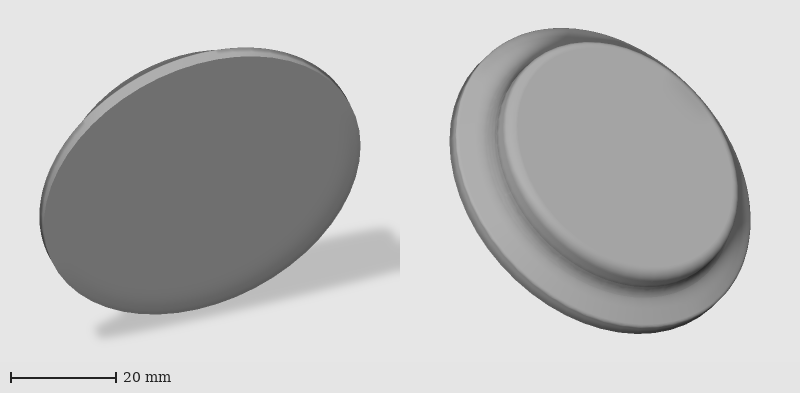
import cadquery as cq
import math

total_depth = 11.0
flange_diameter = 64.0
boss_diameter = 50.8
rim_width = 2.8
cone_angle = 20.0
boss_edge_radius = 2.0
neck_radius = 2.0
rim_edge_radius = 0.7

flange_radius = flange_diameter / 2
boss_radius = boss_diameter / 2
rim_front = total_depth - rim_width
cone_depth = (flange_radius - boss_radius) * math.tan(math.radians(cone_angle))
neck_position = rim_front - cone_depth


def round_circle(body, x, fillet_radius):
    """Fillet the circular edge of the body that lies in the plane at x."""
    margin = 0.05
    reach = flange_diameter
    near_plane = cq.selectors.BoxSelector(
        (x - margin, -reach, -reach),
        (x + margin, reach, reach),
        boundingbox=True,
    )
    return body.edges("%CIRCLE").edges(near_plane).fillet(fillet_radius)


sharp_cap = (
    cq.Workplane("XY")
    .moveTo(0, 0)
    .lineTo(0, boss_radius)
    .lineTo(neck_position, boss_radius)
    .lineTo(rim_front, flange_radius)
    .lineTo(total_depth, flange_radius)
    .lineTo(total_depth, 0)
    .close()
    .revolve(360, (0, 0, 0), (1, 0, 0))
)

boss_rounded = round_circle(sharp_cap, 0, boss_edge_radius)
neck_rounded = round_circle(boss_rounded, neck_position, neck_radius)
result = round_circle(neck_rounded, rim_front, rim_edge_radius)